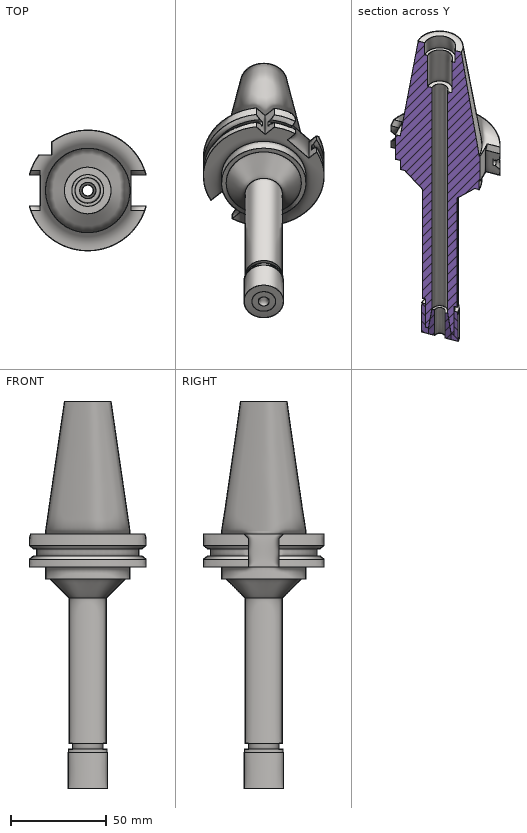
import cadquery as cq
import math

total_height = 203.5
gauge_height = 135.3
flange_top = 133.8
flange_bottom = 116.3
shoulder_bottom = 110.0
cone_bottom = 100.0
neck_top = 23.8
nut_height = 20.7

gauge_radius = 22.2
taper_ratio = 7 / 24
taper_top_radius = gauge_radius - taper_ratio / 2 * (total_height - gauge_height)
counterbore_radius = 8.3
counterbore_depth = 8.3
thread_bore_radius = 6.7
thread_bore_depth = 30.1

flange_radius = 31.7
groove_floor_radius = 28.0
groove_lip_radius = 29.5
groove_floor_width = 3.7
groove_mouth_width = 7.3
groove_center_height = 124.0

slot_width = 16.0
slot_mouth_chamfer = 2.5
slot_floor_left = 25.0
slot_floor_right = 22.8
notch_offset_x = 19.0
notch_offset_y = 18.7

shoulder_radius = gauge_radius
cone_top_radius = 19.7
shank_radius = 9.8
spigot_radius = 8.1
spigot_bottom = 4.0
through_bore_radius = 4.3

nut_radius = 10.4
nut_rim_radius = 10.2
nut_rim_width = 1.8

collet_length = 18.1
collet_bore_radius = 2.8
collet_half_angle = 8.0
collet_taper_length = collet_length - spigot_bottom
collet_mouth_radius = through_bore_radius + collet_taper_length * math.tan(math.radians(collet_half_angle))


def revolve_about_z(points):
    """Turn a closed outline of (radius, height) points about the Z axis."""
    return cq.Workplane("XZ").polyline(points).close().revolve(360, (0, 0, 0), (0, 1, 0))


def vertical_cylinder(radius, bottom, top):
    return cq.Workplane("XY").workplane(offset=bottom).circle(radius).extrude(top - bottom)


def turned_holder_body():
    """Taper, grooved flange, shoulder, shank and spigot as one turned shape."""
    half_floor = groove_floor_width / 2
    half_mouth = groove_mouth_width / 2
    return revolve_about_z([
        (0, total_height),
        (taper_top_radius, total_height),
        (gauge_radius, gauge_height),
        (gauge_radius, flange_top),
        (flange_radius, flange_top),
        (flange_radius, groove_center_height + half_mouth),
        (groove_lip_radius, groove_center_height + half_floor),
        (groove_floor_radius, groove_center_height + half_floor),
        (groove_floor_radius, groove_center_height - half_floor),
        (groove_lip_radius, groove_center_height - half_floor),
        (flange_radius, groove_center_height - half_mouth),
        (flange_radius, flange_bottom),
        (shoulder_radius, flange_bottom),
        (shoulder_radius, shoulder_bottom),
        (cone_top_radius, shoulder_bottom),
        (shank_radius, cone_bottom),
        (shank_radius, neck_top),
        (spigot_radius, neck_top),
        (spigot_radius, spigot_bottom),
        (0, spigot_bottom),
    ])


def drive_slot(side, floor_distance):
    """Cutter for one radial slot whose mouth is chamfered at the flange top; side is +1 or -1 along X."""
    half_width = slot_width / 2
    half_mouth = half_width + slot_mouth_chamfer
    cross_section = [
        (-half_width, flange_bottom),
        (half_width, flange_bottom),
        (half_width, flange_top - slot_mouth_chamfer),
        (half_mouth, flange_top),
        (-half_mouth, flange_top),
        (-half_width, flange_top - slot_mouth_chamfer),
    ]
    cutter_length = side * (flange_radius - floor_distance)
    start = cq.Workplane("YZ").workplane(offset=side * floor_distance)
    return start.polyline(cross_section).close().extrude(cutter_length)


def orientation_notch():
    """Cutter for the square notch in the (-X, +Y) part of the flange rim."""
    return cq.Workplane("XY").box(
        flange_radius - notch_offset_x,
        flange_radius - notch_offset_y,
        flange_top - flange_bottom,
        centered=False,
    ).translate((-flange_radius, notch_offset_y, flange_bottom))


def holder_bore():
    """Counterbore, thread bore and through bore, entered from the top of the taper."""
    counterbore = vertical_cylinder(counterbore_radius, total_height - counterbore_depth, total_height)
    thread_bore = vertical_cylinder(thread_bore_radius, total_height - thread_bore_depth, total_height)
    through_bore = vertical_cylinder(through_bore_radius, spigot_bottom, total_height)
    return through_bore.union(thread_bore).union(counterbore)


def collet_envelope():
    """Collet without its bore; it also shapes the seats in the holder and the nut."""
    return revolve_about_z([
        (0, 0),
        (collet_mouth_radius, 0),
        (collet_mouth_radius, spigot_bottom),
        (through_bore_radius, collet_length),
        (0, collet_length),
    ])


def make_holder():
    return (
        turned_holder_body()
        .cut(drive_slot(-1, slot_floor_left))
        .cut(drive_slot(1, slot_floor_right))
        .cut(orientation_notch())
        .cut(holder_bore())
        .cut(collet_envelope())
    )


def make_nut():
    """Cap around the spigot, with a slightly smaller rim at its upper end."""
    skirt = vertical_cylinder(nut_radius, 0, nut_height - nut_rim_width)
    rim = vertical_cylinder(nut_rim_radius, nut_height - nut_rim_width, nut_height)
    spigot_recess = vertical_cylinder(spigot_radius, spigot_bottom, nut_height)
    return skirt.union(rim).cut(spigot_recess).cut(collet_envelope())


def make_collet():
    return collet_envelope().cut(vertical_cylinder(collet_bore_radius, 0, collet_length))


holder = make_holder()
nut = make_nut()
collet = make_collet()

result = cq.Compound.makeCompound([holder.val(), nut.val(), collet.val()])